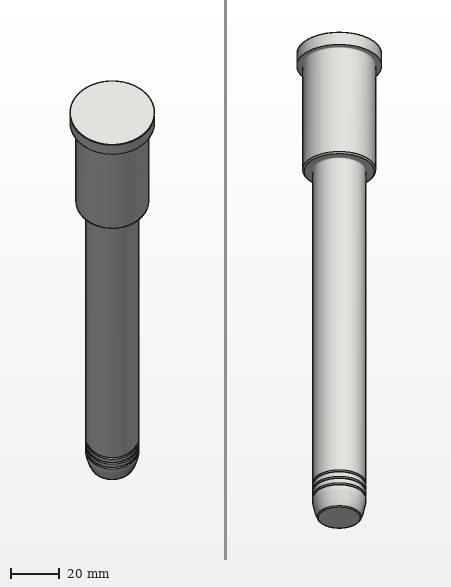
import cadquery as cq

total_length = 221.0
flange_diameter = 35.0
flange_thickness = 6.0
flange_top_chamfer = 0.2
collar_diameter = 30.0
collar_length = 50.2
collar_chamfer = 0.7
shaft_diameter = 21.9
corner_fillet = 0.5

tip_length = 7.0
tip_end_diameter = 18.1
tip_bulge = 0.33
tip_chamfer = 0.5

groove_count = 3
groove_pitch = 3.0
lowest_groove_offset = 2.7
groove_width = 0.97
groove_depth = groove_width / 2

top_z = total_length / 2
bottom_z = -total_length / 2
flange_bottom_z = top_z - flange_thickness
collar_bottom_z = flange_bottom_z - collar_length
tip_top_z = bottom_z + tip_length
flange_radius = flange_diameter / 2
collar_radius = collar_diameter / 2
shaft_radius = shaft_diameter / 2
tip_end_radius = tip_end_diameter / 2


def make_body():
    """Revolve the half outline of flange, collar, shaft and tip."""
    tip_edge_z = bottom_z + tip_chamfer
    arc_middle_radius = (shaft_radius + tip_end_radius) / 2 + tip_bulge
    arc_middle_z = (tip_top_z + tip_edge_z) / 2
    outline = (
        cq.Workplane("XZ")
        .moveTo(0, top_z)
        .lineTo(flange_radius - flange_top_chamfer, top_z)
        .lineTo(flange_radius, top_z - flange_top_chamfer)
        .lineTo(flange_radius, flange_bottom_z)
        .lineTo(collar_radius + corner_fillet, flange_bottom_z)
        .radiusArc((collar_radius, flange_bottom_z - corner_fillet), -corner_fillet)
        .lineTo(collar_radius, collar_bottom_z + collar_chamfer)
        .lineTo(collar_radius - collar_chamfer, collar_bottom_z)
        .lineTo(shaft_radius + corner_fillet, collar_bottom_z)
        .radiusArc((shaft_radius, collar_bottom_z - corner_fillet), -corner_fillet)
        .lineTo(shaft_radius, tip_top_z)
        .threePointArc((arc_middle_radius, arc_middle_z), (tip_end_radius, tip_edge_z))
        .lineTo(tip_end_radius - tip_chamfer, bottom_z)
        .lineTo(0, bottom_z)
        .close()
    )
    return outline.revolve(360, (0, 0, 0), (0, 1, 0))


def make_groove(center_z):
    """Return the V-section ring of material removed by one groove."""
    section = (
        cq.Workplane("XZ")
        .moveTo(shaft_radius, center_z + groove_width / 2)
        .lineTo(shaft_radius - groove_depth, center_z)
        .lineTo(shaft_radius, center_z - groove_width / 2)
        .lineTo(flange_radius, center_z - groove_width / 2)
        .lineTo(flange_radius, center_z + groove_width / 2)
        .close()
    )
    return section.revolve(360, (0, 0, 0), (0, 1, 0))


result = make_body()
for index in range(groove_count):
    result = result.cut(make_groove(tip_top_z + lowest_groove_offset + index * groove_pitch))